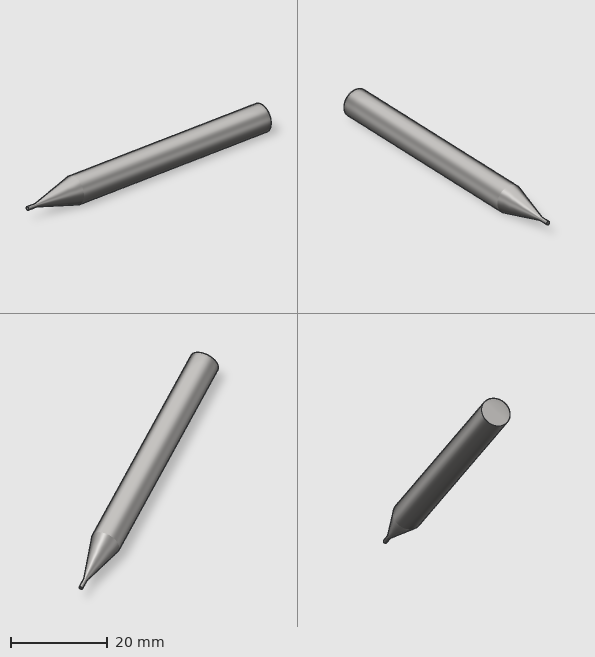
import cadquery as cq

overall_length = 63.5
shank_diameter = 6.35
tip_diameter = 0.8
tip_length = 2.35
shank_start = 12.7

shank_radius = shank_diameter / 2
tip_radius = tip_diameter / 2

half_profile = (
    cq.Workplane("XY")
    .moveTo(0, 0)
    .lineTo(tip_radius, 0)
    .lineTo(tip_radius, tip_length)
    .lineTo(shank_radius, shank_start)
    .lineTo(shank_radius, overall_length)
    .lineTo(0, overall_length)
    .close()
)

result = half_profile.revolve(360, (0, 0, 0), (0, 1, 0))